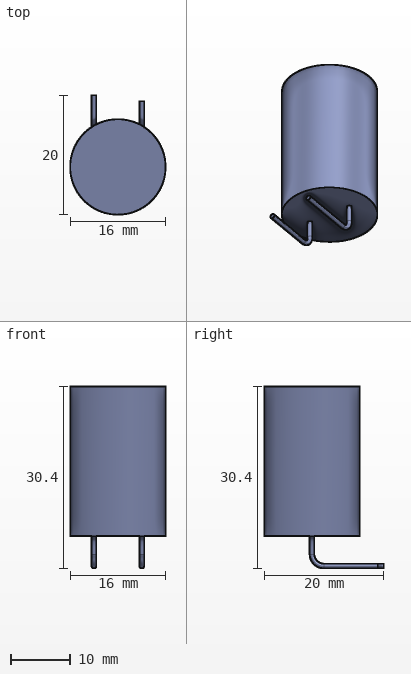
import cadquery as cq

can_diameter = 16.0
can_height = 25.0

lead_diameter = 0.82
lead_spacing = 8.0
lead_drop = 3.0
bend_radius = 2.0
long_lead_reach = 12.0
short_lead_reach = 11.0


def make_can():
    return cq.Workplane("XY").circle(can_diameter / 2).extrude(can_height)


def make_lead(x, reach):
    """Wire that drops from the can base, bends a quarter turn and runs along +Y."""
    centreline = (
        cq.Workplane("YZ", origin=(x, 0, 0))
        .lineTo(0, -lead_drop)
        .radiusArc((bend_radius, -lead_drop - bend_radius), -bend_radius)
        .lineTo(reach, -lead_drop - bend_radius)
    )
    return cq.Workplane("XY", origin=(x, 0, 0)).circle(lead_diameter / 2).sweep(centreline)


can = make_can()

lead_places = [
    (-lead_spacing / 2, long_lead_reach),
    (lead_spacing / 2, short_lead_reach),
]
leads = [make_lead(x, reach) for x, reach in lead_places]

result = cq.Compound.makeCompound([can.val(), *[lead.val() for lead in leads]])